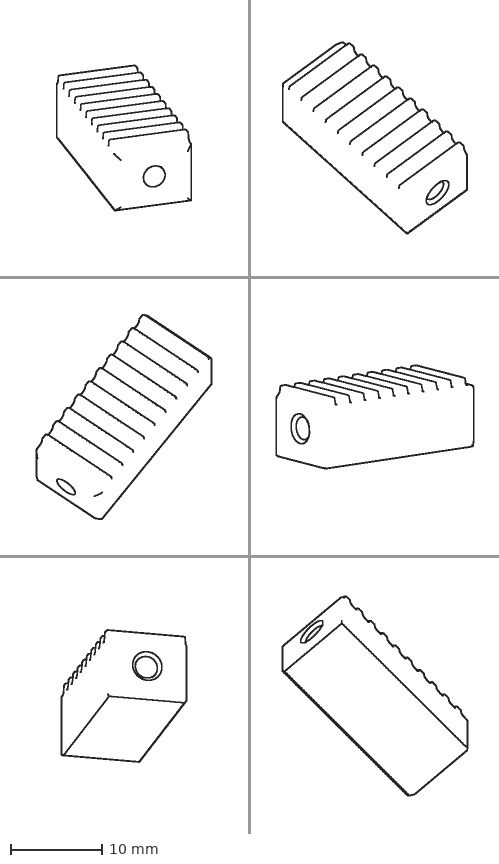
import cadquery as cq
import math

length = 21.0
width = 9.0
height = 7.9

tooth_count = 10
pitch = length / (tooth_count + 0.5)
tooth_depth = 0.95
tip_half_width = 0.43
flank_slope = math.tan(math.radians(8.0))
root_radius = 0.42

lead_chamfer = 0.6
lead_round = 0.42
heel_drop = 0.3
heel_round = 0.59
base_chamfer = 0.23
edge_round = 0.23

hole_diameter = 2.5
countersink_diameter = 3.32
countersink_angle = 90.0
hole_height = 3.82

root_height = height - tooth_depth
foot_half_width = tip_half_width + tooth_depth * flank_slope
tolerance = 0.002


def edges_across(body, x_range, z_range):
    """Edges parallel to Y whose X and Z lie within the given ranges."""
    low = (x_range[0] - tolerance, -width, z_range[0] - tolerance)
    high = (x_range[1] + tolerance, width, z_range[1] + tolerance)
    return body.edges("|Y").edges(cq.selectors.BoxSelector(low, high))


def make_rack_block():
    """Rack outline with rounded groove floors, extruded across the width."""
    first_foot = pitch / 2 - foot_half_width
    heel_rise = (first_foot - heel_drop) / (1 - flank_slope)
    heel_top_x = first_foot + heel_rise * flank_slope
    heel_top = (heel_top_x, root_height + heel_rise)

    outline = [(0, 0), (0, root_height - heel_drop), heel_top]
    for tooth in range(tooth_count):
        center = (tooth + 0.5) * pitch
        if tooth > 0:
            outline.append((center - foot_half_width, root_height))
        outline.append((center - tip_half_width, height))
        outline.append((center + tip_half_width, height))
        outline.append((center + foot_half_width, root_height))
    outline += [(length, root_height), (length, 0)]

    block = cq.Workplane("XZ").polyline(outline).close().extrude(width / 2, both=True)
    inner_x_range = (heel_top_x, length - pitch / 4)
    roots = edges_across(block, inner_x_range, (root_height, heel_top[1]))
    return roots.fillet(root_radius)


def finish_edges(body):
    """Chamfer the +X end and the base, then round the remaining outer edges."""
    body = body.faces(">X").edges().chamfer(lead_chamfer)
    body = body.faces("<Z").edges("<X or <Y or >Y").chamfer(base_chamfer)

    heel_height = root_height - heel_drop
    body = edges_across(body, (0, 0), (heel_height, heel_height)).fillet(heel_round)

    tips = edges_across(body, (0, length), (height, height))
    base_edge = edges_across(body, (0, 0), (base_chamfer, base_chamfer))
    side_outlines = body.faces("<Y or >Y").edges()
    end_outline = body.faces(">X").edges()
    body = side_outlines.add(tips).add(base_edge).add(end_outline).fillet(edge_round)

    lead_x = length - lead_chamfer
    return edges_across(body, (lead_x, lead_x), (0, root_height)).fillet(lead_round)


def make_hole():
    """Cutter for the lengthwise hole and its countersink."""
    hole_radius = hole_diameter / 2
    countersink_radius = countersink_diameter / 2
    half_angle = math.radians(countersink_angle / 2)
    countersink_depth = (countersink_radius - hole_radius) / math.tan(half_angle)
    profile = [
        (0, 0),
        (0, countersink_radius),
        (countersink_depth, hole_radius),
        (length, hole_radius),
        (length, 0),
    ]
    cutter = cq.Workplane("XY").polyline(profile).close().revolve(360, (0, 0, 0), (1, 0, 0))
    return cutter.translate((0, 0, hole_height))


result = finish_edges(make_rack_block()).cut(make_hole())